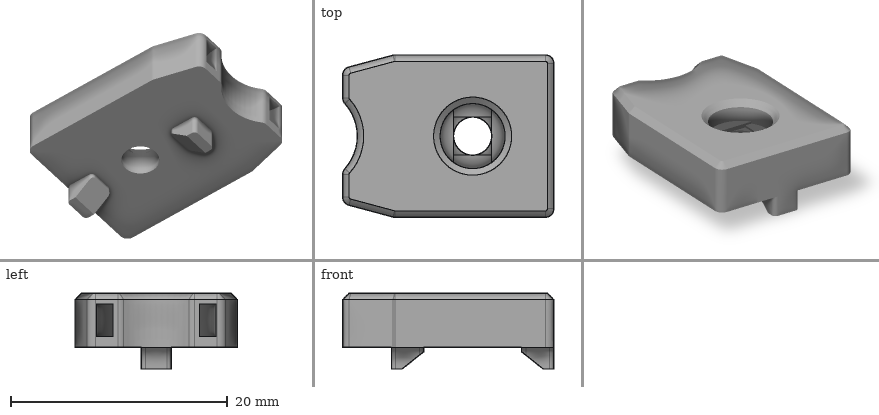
import cadquery as cq
import math

length = 19.5
width = 15.0
thickness = 5.0
corner_radius = 0.8
top_chamfer = 0.6
taper_length = 4.75
taper_angle = 15.0
nose_half_width = width / 2 - taper_length * math.tan(math.radians(taper_angle))

notch_radius = 4.5
notch_depth = 1.35
notch_center_x = notch_depth - notch_radius
notch_half_width = math.sqrt(notch_radius**2 - notch_center_x**2)

channel_inner_radius = 4.0
channel_outer_radius = 5.5
channel_bottom = 1.0
channel_height = 3.0

hole_x = 12.0
hole_diameter = 3.5
counterbore_diameter = 6.0
counterbore_floor = 3.0
step_depth = 0.2

hook_length = 3.0
hook_width = 2.8
hook_height = 2.0
hook_foot_length = 1.0
hook_tip_height = 0.4
hook_corner_radius = 0.4
hook_outer_reach = length - hole_x


def make_body():
    outline = (
        cq.Workplane("XY")
        .moveTo(0, notch_half_width)
        .lineTo(0, nose_half_width)
        .lineTo(taper_length, width / 2)
        .lineTo(length, width / 2)
        .lineTo(length, -width / 2)
        .lineTo(taper_length, -width / 2)
        .lineTo(0, -nose_half_width)
        .lineTo(0, -notch_half_width)
        .threePointArc((notch_depth, 0), (0, notch_half_width))
        .close()
    )
    plate = outline.extrude(thickness).edges("|Z").fillet(corner_radius)
    return plate.faces(">Z").chamfer(top_chamfer)


def make_channel():
    return (
        cq.Workplane("XY", origin=(0, 0, channel_bottom))
        .moveTo(0, channel_outer_radius)
        .threePointArc((channel_outer_radius, 0), (0, -channel_outer_radius))
        .lineTo(0, -channel_inner_radius)
        .threePointArc((channel_inner_radius, 0), (0, channel_inner_radius))
        .close()
        .extrude(channel_height)
    )


def make_screw_hole():
    bore = cq.Workplane("XY").circle(hole_diameter / 2).extrude(thickness)
    counterbore = (
        cq.Workplane("XY", origin=(0, 0, counterbore_floor))
        .circle(counterbore_diameter / 2)
        .extrude(thickness - counterbore_floor)
    )
    mouth_radius = counterbore_diameter / 2 + top_chamfer
    countersink = (
        cq.Workplane("XY", origin=(0, 0, thickness))
        .circle(mouth_radius)
        .workplane(offset=-top_chamfer)
        .circle(counterbore_diameter / 2)
        .loft()
    )
    flat_step = (
        cq.Workplane("XY", origin=(0, 0, counterbore_floor - step_depth))
        .circle(counterbore_diameter / 2)
        .extrude(step_depth)
        .intersect(cq.Workplane("XY").box(hole_diameter, counterbore_diameter, 2 * thickness))
    )
    square_step = (
        cq.Workplane("XY", origin=(0, 0, counterbore_floor - 2 * step_depth))
        .rect(hole_diameter, hole_diameter)
        .extrude(2 * step_depth)
    )
    cutter = bore.union(counterbore).union(countersink).union(flat_step).union(square_step)
    return cutter.translate((hole_x, 0, 0))


def make_hook():
    tip_x = hook_outer_reach - hook_length
    foot_x = hook_outer_reach - hook_foot_length
    profile = [
        (hook_outer_reach, 0),
        (tip_x, 0),
        (tip_x, -hook_tip_height),
        (foot_x, -hook_height),
        (hook_outer_reach, -hook_height),
    ]
    hook = (
        cq.Workplane("XZ")
        .polyline(profile)
        .close()
        .extrude(hook_width / 2, both=True)
    )
    column = (
        cq.Workplane("XY")
        .box(hook_length, hook_width, 2 * hook_height)
        .edges("|Z")
        .fillet(hook_corner_radius)
        .translate((hook_outer_reach - hook_length / 2, 0, 0))
    )
    return hook.intersect(column)


result = make_body().cut(make_channel()).cut(make_screw_hole())
for turn in (0, 180):
    hook = make_hook().rotate((0, 0, 0), (0, 0, 1), turn)
    result = result.union(hook.translate((hole_x, 0, 0)))